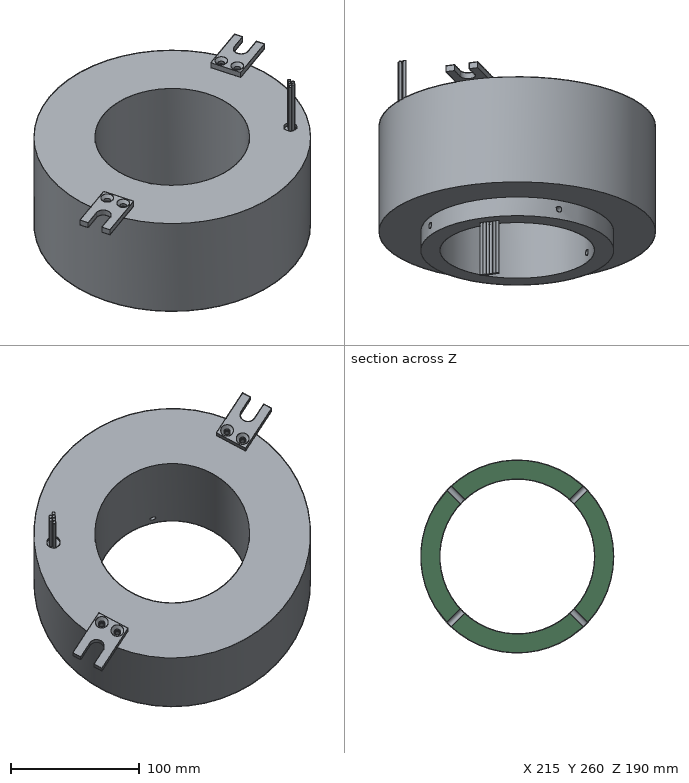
import cadquery as cq
import math

body_diameter = 215.0
bore_diameter = 120.0
body_height = 87.5
flange_diameter = 150.0
flange_height = 15.5
body_top = flange_height + body_height

set_screw_count = 4
set_screw_diameter = 4.7
set_screw_height = 8.3
set_screw_start_angle = 45.0

span_over_plates = 260.0
plate_length = 40.0
plate_width = 26.3
plate_thickness = 5.0
fork_slot_width = 12.0
fork_slot_depth = 20.0
screw_spacing = 14.0
screw_edge_distance = 6.0
screw_y = span_over_plates / 2 - plate_length + screw_edge_distance
screw_points = [(-screw_spacing / 2, screw_y), (screw_spacing / 2, screw_y)]
screw_hole_diameter = 5.0
countersink_diameter = 10.0
countersink_angle = 90.0

drill_diameter = 3.5
drill_depth = 10.5
drill_point_angle = 118.0

wire_diameter = 2.4
wire_gap = 0.23
wire_pitch = wire_diameter + wire_gap
wire_length = 43.5
wire_embed = 2.5
bottom_row_count = 6
bottom_row_y = 65.0

exit_hole_diameter = 10.1
exit_hole_depth = wire_embed
exit_radius = 92.5
exit_angle = 35.2
inner_row_count = 4
outer_row_count = 2
inner_row_offset = -0.42


def ring(outer_diameter, base, height):
    """Flat ring around the bore."""
    profile = cq.Workplane("XY").workplane(offset=base)
    return profile.circle(outer_diameter / 2).circle(bore_diameter / 2).extrude(height)


def set_screw_hole(angle):
    """Radial cutter running from the bore axis out through the flange."""
    cutter = cq.Workplane("YZ").center(0, set_screw_height)
    cutter = cutter.circle(set_screw_diameter / 2).extrude(flange_diameter)
    return cutter.rotate((0, 0, 0), (0, 0, 1), angle)


def drilled_holes():
    """Cutters below the screws of the +Y plate, each with a conical drill point."""
    radius = drill_diameter / 2
    point_length = radius / math.tan(math.radians(drill_point_angle / 2))
    drill = (
        cq.Workplane("XZ")
        .moveTo(0, 0)
        .lineTo(radius, 0)
        .lineTo(radius, -drill_depth)
        .lineTo(0, -drill_depth - point_length)
        .close()
        .revolve(360, (0, 0), (0, 1))
    )
    seats = cq.Workplane("XY").workplane(offset=body_top).pushPoints(screw_points)
    return seats.eachpoint(lambda location: drill.val().moved(location), combine=False)


def fork_plate():
    """Plate on the +Y side, its open slot facing outwards."""
    outer_end = span_over_plates / 2
    inner_end = outer_end - plate_length
    slot_radius = fork_slot_width / 2
    slot_bottom = outer_end - fork_slot_depth
    arc_start = slot_bottom + slot_radius
    half_width = plate_width / 2
    plate = (
        cq.Workplane("XY")
        .workplane(offset=body_top)
        .moveTo(-half_width, inner_end)
        .lineTo(half_width, inner_end)
        .lineTo(half_width, outer_end)
        .lineTo(slot_radius, outer_end)
        .lineTo(slot_radius, arc_start)
        .threePointArc((0, slot_bottom), (-slot_radius, arc_start))
        .lineTo(-slot_radius, outer_end)
        .lineTo(-half_width, outer_end)
        .close()
        .extrude(plate_thickness)
    )
    return (
        plate.faces(">Z")
        .workplane(origin=(0, 0, body_top + plate_thickness))
        .pushPoints(screw_points)
        .cskHole(screw_hole_diameter, countersink_diameter, countersink_angle)
    )


def row_offsets(count):
    """Evenly pitched wire positions centred on zero."""
    return [(index - (count - 1) / 2) * wire_pitch for index in range(count)]


def wires(points, base):
    """Straight vertical wires, each long enough to be embedded at one end."""
    bundle = cq.Workplane("XY").workplane(offset=base).pushPoints(points)
    return bundle.circle(wire_diameter / 2).extrude(wire_length + wire_embed)


flange = ring(flange_diameter, 0, flange_height)
result = flange.union(ring(body_diameter, flange_height, body_height))
for index in range(set_screw_count):
    result = result.cut(set_screw_hole(set_screw_start_angle + index * 360 / set_screw_count))

for angle in (0, 180):
    result = result.cut(drilled_holes().rotate((0, 0, 0), (0, 0, 1), angle))
    result = result.union(fork_plate().rotate((0, 0, 0), (0, 0, 1), angle))

bottom_points = [(x, bottom_row_y) for x in row_offsets(bottom_row_count)]
result = result.union(wires(bottom_points, -wire_length))

exit_hole = cq.Workplane("XY").workplane(offset=body_top - exit_hole_depth).center(exit_radius, 0)
exit_hole = exit_hole.circle(exit_hole_diameter / 2).extrude(exit_hole_depth)
result = result.cut(exit_hole.rotate((0, 0, 0), (0, 0, 1), exit_angle))
inner_row_x = exit_radius + inner_row_offset
outer_row_x = inner_row_x + wire_pitch
top_points = [(inner_row_x, y) for y in row_offsets(inner_row_count)]
top_points += [(outer_row_x, y) for y in row_offsets(outer_row_count)]
top_wires = wires(top_points, body_top - wire_embed)
result = result.union(top_wires.rotate((0, 0, 0), (0, 0, 1), exit_angle)).solids()